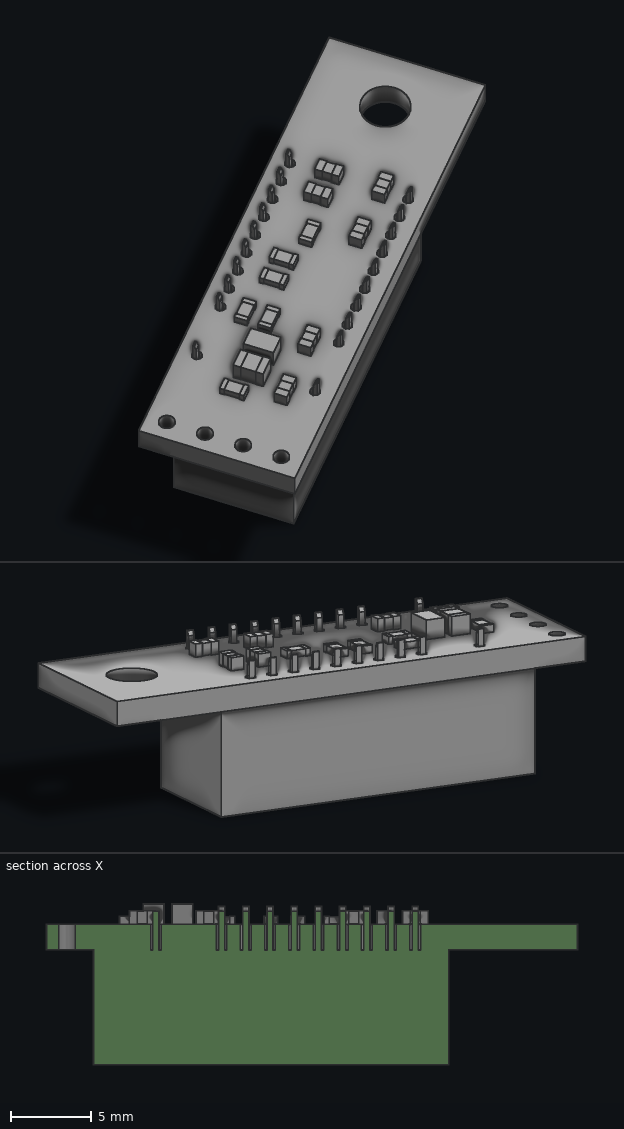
import cadquery as cq

BOARD_WIDTH = 10.41
BOARD_LENGTH = 33.02
BOARD_THICKNESS = 1.6
OVERALL_HEIGHT = 10.01

MOUNT_HOLE_DIAMETER = 3.17
MOUNT_HOLE_EDGE_DISTANCE = 3.81
WIRE_HOLE_DIAMETER = 1.02
WIRE_HOLE_COUNT = 4
WIRE_HOLE_PITCH = 2.54
WIRE_HOLE_EDGE_DISTANCE = 1.27
PIN_HOLE_DIAMETER = 0.64

BLOCK_LENGTH = 2.0
BLOCK_WIDTH = 1.3
BLOCK_HEIGHT = 1.26
BLOCK_TERMINAL = 0.5
BLOCK_INSET = 0.01
PLAIN_BLOCK_CENTRE = (-0.22, -8.06)
CAPPED_BLOCK_CENTRE = (-0.22, -9.85)

HOUSING_WIDTH = 8.0
HOUSING_LENGTH = 22.1
HOUSING_CENTRE_Y = -2.54
HOUSING_HEIGHT = OVERALL_HEIGHT - BOARD_THICKNESS - BLOCK_HEIGHT

PIN_ROW_SPACING = 7.87
PIN_PITCH = 1.505
PINS_IN_RUN = 9
FIRST_PIN_Y = 6.42
LONE_PIN_Y = -9.7
PIN_INNER_OVERLAP = 0.04
PIN_THICKNESS = 0.25
PIN_WIDTH = 0.4
PIN_PROTRUSION = 1.1
PIN_BEVEL_WIDTH = 0.14
PIN_BEVEL_HEIGHT = 0.3

CHIP_LENGTH = 1.62
CHIP_WIDTH = 0.86
CHIP_INSET = 0.025
CAPACITOR_HEIGHT = 0.85
CAPACITOR_TERMINAL = 0.5
RESISTOR_HEIGHT = 0.5
RESISTOR_TERMINAL = 0.3
CAPACITORS_ALONG_X = [(-1.30, 6.37), (-1.30, 4.47)]
CAPACITORS_ALONG_Y = [(2.24, 6.43), (2.19, 2.61), (2.27, -6.41), (2.27, -10.55)]
RESISTORS_ALONG_X = [(-1.55, -0.88), (-1.55, -2.56), (-0.75, -11.54)]
RESISTORS_ALONG_Y = [(-0.75, 1.57), (-2.29, -5.61), (-0.70, -5.61)]


def box_on(length, width, height, centre, base):
    """Box centred on an (X, Y) point, standing on height `base`."""
    block = cq.Workplane("XY").box(length, width, height, centered=(True, True, False))
    return block.translate((centre[0], centre[1], base))


def pin_positions_y():
    return [FIRST_PIN_Y - i * PIN_PITCH for i in range(PINS_IN_RUN)] + [LONE_PIN_Y]


def make_board():
    board = box_on(BOARD_WIDTH, BOARD_LENGTH, BOARD_THICKNESS, (0, 0), 0)
    mount_y = BOARD_LENGTH / 2 - MOUNT_HOLE_EDGE_DISTANCE
    wire_y = -BOARD_LENGTH / 2 + WIRE_HOLE_EDGE_DISTANCE
    first_wire_x = -(WIRE_HOLE_COUNT - 1) * WIRE_HOLE_PITCH / 2
    wire_points = [(first_wire_x + i * WIRE_HOLE_PITCH, wire_y) for i in range(WIRE_HOLE_COUNT)]
    pin_points = [(side * PIN_ROW_SPACING / 2, y) for side in (-1, 1) for y in pin_positions_y()]
    holes = [
        (MOUNT_HOLE_DIAMETER, [(0, mount_y)]),
        (WIRE_HOLE_DIAMETER, wire_points),
        (PIN_HOLE_DIAMETER, pin_points),
    ]
    for diameter, points in holes:
        cutters = cq.Workplane("XY").pushPoints(points).circle(diameter / 2).extrude(BOARD_THICKNESS)
        board = board.cut(cutters)
    return board


def make_housing():
    return box_on(HOUSING_WIDTH, HOUSING_LENGTH, HOUSING_HEIGHT, (0, HOUSING_CENTRE_Y), -HOUSING_HEIGHT)


def make_pin(y):
    """Pin of the +X row; its inner face lies just past the hole axis and its tip is bevelled inward."""
    inner_x = PIN_ROW_SPACING / 2 - PIN_INNER_OVERLAP
    outer_x = inner_x + PIN_THICKNESS
    tip_z = BOARD_THICKNESS + PIN_PROTRUSION
    profile = [
        (inner_x, 0),
        (outer_x, 0),
        (outer_x, tip_z),
        (inner_x + PIN_BEVEL_WIDTH, tip_z),
        (inner_x, tip_z - PIN_BEVEL_HEIGHT),
    ]
    pin = cq.Workplane("XZ").polyline(profile).close().extrude(PIN_WIDTH / 2, both=True)
    return pin.translate((0, y, 0))


def make_chip(length, width, height, terminal, inset):
    """Chip along X at the origin: two end terminals joined by a slightly slimmer body."""
    end_x = (length - terminal) / 2
    body = box_on(length - 2 * terminal, width - 2 * inset, height - 2 * inset, (0, 0), inset)
    for side in (-1, 1):
        body = body.union(box_on(terminal, width, height, (side * end_x, 0), 0))
    return body


def place_chips(chip, centres, angle):
    turned = chip.rotate((0, 0, 0), (0, 0, 1), angle)
    return [turned.translate((x, y, BOARD_THICKNESS)) for x, y in centres]


def make_components():
    capacitor = make_chip(CHIP_LENGTH, CHIP_WIDTH, CAPACITOR_HEIGHT, CAPACITOR_TERMINAL, CHIP_INSET)
    resistor = make_chip(CHIP_LENGTH, CHIP_WIDTH, RESISTOR_HEIGHT, RESISTOR_TERMINAL, CHIP_INSET)
    capped_block = make_chip(BLOCK_LENGTH, BLOCK_WIDTH, BLOCK_HEIGHT, BLOCK_TERMINAL, BLOCK_INSET)
    parts = [box_on(BLOCK_LENGTH, BLOCK_WIDTH, BLOCK_HEIGHT, PLAIN_BLOCK_CENTRE, BOARD_THICKNESS)]
    parts += place_chips(capped_block, [CAPPED_BLOCK_CENTRE], 0)
    parts += place_chips(capacitor, CAPACITORS_ALONG_X, 0)
    parts += place_chips(capacitor, CAPACITORS_ALONG_Y, 90)
    parts += place_chips(resistor, RESISTORS_ALONG_X, 0)
    parts += place_chips(resistor, RESISTORS_ALONG_Y, 90)
    return parts


result = make_board().union(make_housing())
for pin_y in pin_positions_y():
    right_pin = make_pin(pin_y)
    result = result.union(right_pin).union(right_pin.mirror("YZ"))
for component in make_components():
    result = result.union(component)